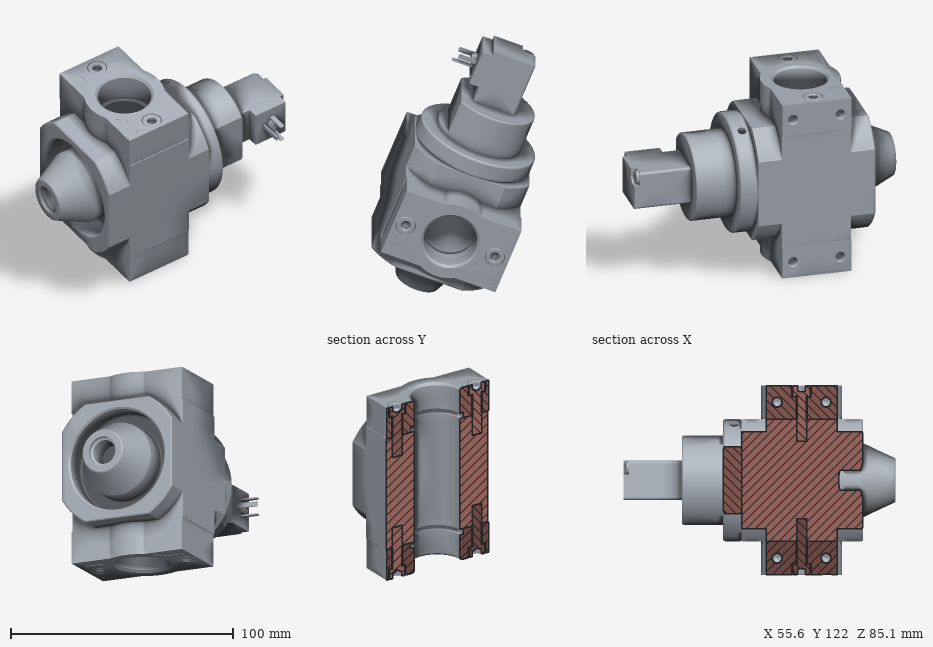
import cadquery as cq
import math


HOUSING_HALF_X = 27.6
HOUSING_HALF_Y = 27.5
HOUSING_HALF_Z = 27.5
HOUSING_BACK_Y = 27.0
CORNER_RADIUS = 31.7
END_CHAMFER = 0.5
PORT_DIAMETER = 24.2

RECESS_RADIUS = 23.3
RECESS_DEPTH = 11.0
RECESS_RIM_CHAMFER = 0.9
RECESS_OUTER_FILLET = 1.1
RECESS_INNER_FILLET = 0.7
CONE_BASE_RADIUS = 17.0
CONE_BASE_INSET = 0.4
CONE_TIP_RADIUS = 9.9
CONE_TIP_Y = -42.1
CONE_TIP_ROUNDING = 1.0
CONE_HOLE_DIAMETER = 11.0
CONE_HOLE_DEPTH = 12.2
CONE_MOUTH_DIAMETER = 13.3
CONE_MOUTH_DEPTH = 1.5
CONE_MOUTH_TAPER = 0.6

FLANGE_HALF_Y = 16.1
FLANGE_THICKNESS = 15.07
FLANGE_SHIFT_X = -0.4
FLANGE_BULGE_RADIUS = 18.2
FLANGE_PORT_CHAMFER = 1.1
SEAL_SEAT_DIAMETER = 28.0
SEAL_SEAT_DEPTH = 2.5
SIDE_HOLE_DIAMETER = 4.1
SIDE_HOLE_MOUTH_DIAMETER = 5.0
SIDE_HOLE_DEPTH = 9.8
SIDE_HOLE_Y = 11.0
SIDE_HOLE_HEIGHT = 7.6
DRILL_HALF_ANGLE = 59.0

LABEL_DEPTH = 0.1
LABEL_SIDE_MARGIN = 2.3
LABEL_LENGTH = 13.3
LABEL_SLANT = 2.7
LABEL_TOP_Y = -9.2
LABEL_BOTTOM_Y = -13.7
LABEL_CORNER_RADIUS = 0.6

SCREW_X = 21.5
SCREW_HEAD_DIAMETER = 8.5
SCREW_HEAD_HEIGHT = 5.0
SCREW_HEAD_CHAMFER = 0.2
SCREW_SHANK_DIAMETER = 5.0
SCREW_LENGTH = 25.0
SCREW_CLEARANCE_DIAMETER = 5.5
SCREW_SEAT_DIAMETER = 9.0
SOCKET_ACROSS_FLATS = 4.0
SOCKET_MOUTH_DIAMETER = 5.0
SOCKET_DEPTH = 2.5

CAP_RADIUS = 27.5
CAP_BACK_Y = 35.3
CAP_BACK_FILLET = 1.1
CAP_FRONT_CHAMFER_Y = 0.7
CAP_FRONT_CHAMFER_RADIAL = 0.5
SPANNER_HOLE_DIAMETER = 4.0
SPANNER_HOLE_DEPTH = 9.8
SPANNER_HOLE_Y = 30.4
SPANNER_HOLE_ANGLE = 25.0

PILOT_RADIUS = 20.0
PILOT_BACK_Y = 53.7
PILOT_FILLET = 0.7
PILOT_FLAT_X = 15.5
PILOT_FLAT_START_Y = 37.1

SOLENOID_HALF_X = 10.0
SOLENOID_HALF_Z = 8.8
SOLENOID_BACK_Y = 79.9
SOLENOID_EDGE_FILLET = 1.2
CONNECTOR_X = 14.8
CONNECTOR_START_Y = 61.4
CONNECTOR_END_Y = 77.8
COVER_NOTCH_SIZE = 6.2
COVER_NOTCH_DEPTH = 2.5
COVER_HEAD_DIAMETER = 6.0
COVER_HEAD_HEIGHT = 1.2
BOSS_Y = 70.2
BOSS_DIAMETER = 5.0
BOSS_END_X = 16.6
NOSE_DIAMETER = 3.8
NOSE_END_X = 17.3
BLADE_WIDTH = 2.2
BLADE_THICKNESS = 0.7
POWER_BLADE_Z = 3.8
POWER_BLADE_END_X = 23.3
EARTH_BLADE_Y = 66.1
EARTH_BLADE_END_X = 25.0
BLADE_TIP_CHAMFER = 0.2

FLANGE_OUTER_Z = HOUSING_HALF_Z + FLANGE_THICKNESS


def box(x_range, y_range, z_range):
    """Axis-aligned box between pairs of coordinates."""
    (x0, x1), (y0, y1), (z0, z1) = x_range, y_range, z_range
    return cq.Workplane("XY").box(x1 - x0, y1 - y0, z1 - z0, centered=False).translate((x0, y0, z0))


def cylinder_x(radius, x0, x1, y, z):
    return cq.Workplane("YZ", origin=(x0, y, z)).circle(radius).extrude(x1 - x0)


def cylinder_y(radius, y0, y1, x=0, z=0):
    return cq.Workplane("XZ", origin=(x, y0, z)).circle(radius).extrude(y0 - y1)


def cylinder_z(radius, z0, z1, x=0, y=0):
    return cq.Workplane("XY", origin=(x, y, z0)).circle(radius).extrude(z1 - z0)


def revolve_about_y(profile):
    """Solid of revolution about Y from (radius, y) points."""
    return cq.Workplane("XY").polyline(profile).close().revolve(360, (0, 0), (0, 1))


def exhaust_recess():
    """Annular pocket around a round skirt, open across the full width at the front face."""
    front = -HOUSING_HALF_Y
    floor = front + RECESS_DEPTH
    pocket = cylinder_y(RECESS_RADIUS, front, floor).faces(">Y").edges().fillet(RECESS_OUTER_FILLET)
    skirt = cylinder_y(CONE_BASE_RADIUS, front + CONE_BASE_INSET, floor)
    skirt_foot = cq.selectors.RadiusNthSelector(0)
    pocket = pocket.cut(skirt).faces(">Y").edges(skirt_foot).fillet(RECESS_INNER_FILLET)
    rim = revolve_about_y([
        (0, front),
        (RECESS_RADIUS + RECESS_RIM_CHAMFER, front),
        (RECESS_RADIUS, front + RECESS_RIM_CHAMFER),
        (CONE_BASE_RADIUS, front + RECESS_RIM_CHAMFER),
        (CONE_BASE_RADIUS, front + CONE_BASE_INSET),
        (0, front + CONE_BASE_INSET),
    ])
    return pocket.union(rim)


def exhaust_cone():
    """Cone standing on the skirt, with a rounded tip edge."""
    base_y = -HOUSING_HALF_Y + CONE_BASE_INSET
    cone = revolve_about_y([
        (0, CONE_TIP_Y),
        (CONE_TIP_RADIUS, CONE_TIP_Y),
        (CONE_BASE_RADIUS, base_y),
        (0, base_y),
    ])
    return cone.faces("<Y").edges().fillet(CONE_TIP_ROUNDING)


def exhaust_hole():
    """Blind hole in the cone tip with a wider mouth and a short taper below it."""
    mouth_end = CONE_TIP_Y + CONE_MOUTH_DEPTH
    return revolve_about_y([
        (0, CONE_TIP_Y),
        (CONE_MOUTH_DIAMETER / 2, CONE_TIP_Y),
        (CONE_MOUTH_DIAMETER / 2, mouth_end),
        (CONE_HOLE_DIAMETER / 2, mouth_end + CONE_MOUTH_TAPER),
        (CONE_HOLE_DIAMETER / 2, CONE_TIP_Y + CONE_HOLE_DEPTH),
        (0, CONE_TIP_Y + CONE_HOLE_DEPTH),
    ])


def make_housing():
    x_range = (-HOUSING_HALF_X, HOUSING_HALF_X)
    z_range = (-HOUSING_HALF_Z, HOUSING_HALF_Z)
    long_block = box(x_range, (-HOUSING_HALF_Y, HOUSING_BACK_Y), z_range)
    turned_ends = cylinder_y(CORNER_RADIUS, -HOUSING_HALF_Y, HOUSING_BACK_Y)
    body = long_block.intersect(turned_ends).faces("<Y").edges().chamfer(END_CHAMFER)
    body = body.union(box(x_range, (-FLANGE_HALF_Y, FLANGE_HALF_Y), z_range))
    body = body.cut(exhaust_recess()).union(exhaust_cone()).cut(exhaust_hole())
    body = body.cut(cylinder_z(PORT_DIAMETER / 2, -HOUSING_HALF_Z, HOUSING_HALF_Z))
    for end_z in (-HOUSING_HALF_Z, HOUSING_HALF_Z):
        hole_end = math.copysign(FLANGE_OUTER_Z - SCREW_LENGTH, end_z)
        for side in (-1, 1):
            body = body.cut(cylinder_z(SCREW_SHANK_DIAMETER / 2, hole_end, end_z, x=side * SCREW_X))
    return body


def label_panel(side):
    """Sunk panel with one slanted end; side is -1 or 1 along X."""
    outer = FLANGE_SHIFT_X + side * (HOUSING_HALF_X - LABEL_SIDE_MARGIN)
    inner = outer - side * LABEL_LENGTH
    outline = [
        (outer, LABEL_TOP_Y),
        (inner + side * LABEL_SLANT, LABEL_TOP_Y),
        (inner, LABEL_BOTTOM_Y),
        (outer, LABEL_BOTTOM_Y),
    ]
    plane = cq.Workplane("XY", origin=(0, 0, FLANGE_OUTER_Z - LABEL_DEPTH))
    return plane.polyline(outline).close().extrude(LABEL_DEPTH).edges("|Z").fillet(LABEL_CORNER_RADIUS)


def side_hole(y):
    """Drilled hole in the -X side, with a widened mouth and a conical bottom."""
    radius = SIDE_HOLE_DIAMETER / 2
    mouth = SIDE_HOLE_MOUTH_DIAMETER / 2
    point = radius / math.tan(math.radians(DRILL_HALF_ANGLE))
    profile = [
        (0, 0),
        (0, mouth),
        (mouth - radius, radius),
        (SIDE_HOLE_DEPTH, radius),
        (SIDE_HOLE_DEPTH + point, 0),
    ]
    origin = (FLANGE_SHIFT_X - HOUSING_HALF_X, y, HOUSING_HALF_Z + SIDE_HOLE_HEIGHT)
    return cq.Workplane("XY", origin=origin).polyline(profile).close().revolve(360, (0, 0), (1, 0))


def make_flange():
    x_range = (FLANGE_SHIFT_X - HOUSING_HALF_X, FLANGE_SHIFT_X + HOUSING_HALF_X)
    z_range = (HOUSING_HALF_Z, FLANGE_OUTER_Z)
    flange = box(x_range, (-FLANGE_HALF_Y, FLANGE_HALF_Y), z_range)
    flange = flange.union(cylinder_z(FLANGE_BULGE_RADIUS, *z_range))
    flange = flange.cut(cylinder_z(PORT_DIAMETER / 2, *z_range))
    port_edge = cq.selectors.RadiusNthSelector(0)
    flange = flange.faces(">Z").edges(port_edge).chamfer(FLANGE_PORT_CHAMFER)
    flange = flange.cut(cylinder_z(SEAL_SEAT_DIAMETER / 2, HOUSING_HALF_Z, HOUSING_HALF_Z + SEAL_SEAT_DEPTH))
    for side in (-1, 1):
        x = side * SCREW_X
        flange = flange.cut(cylinder_z(SCREW_CLEARANCE_DIAMETER / 2, *z_range, x=x))
        seat_z = FLANGE_OUTER_Z - SCREW_HEAD_HEIGHT
        flange = flange.cut(cylinder_z(SCREW_SEAT_DIAMETER / 2, seat_z, FLANGE_OUTER_Z, x=x))
        flange = flange.cut(label_panel(side))
        flange = flange.cut(side_hole(side * SIDE_HOLE_Y))
    return flange


def make_screw(side):
    """Hexagon socket screw of the upper flange; side is -1 or 1 along X."""
    x = side * SCREW_X
    head_z = FLANGE_OUTER_Z - SCREW_HEAD_HEIGHT
    head = cylinder_z(SCREW_HEAD_DIAMETER / 2, head_z, FLANGE_OUTER_Z, x=x)
    head = head.faces(">Z").edges().chamfer(SCREW_HEAD_CHAMFER)
    shank = cylinder_z(SCREW_SHANK_DIAMETER / 2, FLANGE_OUTER_Z - SCREW_LENGTH, head_z, x=x)

    across_corners = SOCKET_ACROSS_FLATS / math.cos(math.pi / 6)
    socket_floor = cq.Workplane("XY", origin=(x, 0, FLANGE_OUTER_Z - SOCKET_DEPTH))
    hexagon = socket_floor.polygon(6, across_corners).extrude(SOCKET_DEPTH)
    mouth_radius = SOCKET_MOUTH_DIAMETER / 2
    mouth = cq.Workplane(cq.Solid.makeCone(mouth_radius, 0, mouth_radius, (x, 0, FLANGE_OUTER_Z), (0, 0, -1)))
    floor_radius = SOCKET_ACROSS_FLATS / 2
    point_height = floor_radius / math.tan(math.radians(DRILL_HALF_ANGLE))
    floor_center = (x, 0, FLANGE_OUTER_Z - SOCKET_DEPTH)
    drill_point = cq.Workplane(cq.Solid.makeCone(floor_radius, 0, point_height, floor_center, (0, 0, -1)))
    return head.union(shank).cut(hexagon).cut(mouth).cut(drill_point)


def make_end_cap():
    chamfer_end = HOUSING_BACK_Y + CAP_FRONT_CHAMFER_Y
    cap = revolve_about_y([
        (0, HOUSING_BACK_Y),
        (CAP_RADIUS - CAP_FRONT_CHAMFER_RADIAL, HOUSING_BACK_Y),
        (CAP_RADIUS, chamfer_end),
        (CAP_RADIUS, CAP_BACK_Y),
        (0, CAP_BACK_Y),
    ])
    cap = cap.faces(">Y").edges().fillet(CAP_BACK_FILLET)
    hole = cylinder_z(
        SPANNER_HOLE_DIAMETER / 2, CAP_RADIUS - SPANNER_HOLE_DEPTH, CAP_RADIUS, y=SPANNER_HOLE_Y
    )
    return cap.cut(hole.rotate((0, 0, 0), (0, 1, 0), -SPANNER_HOLE_ANGLE))


def make_pilot_head():
    """Round head with a flat on its +X side that stops at a full base disc."""
    head = cylinder_y(PILOT_RADIUS, CAP_BACK_Y, PILOT_BACK_Y)
    head = head.faces(">Y").edges().fillet(PILOT_FILLET)
    beyond_flat = box(
        (PILOT_FLAT_X, PILOT_RADIUS), (PILOT_FLAT_START_Y, PILOT_BACK_Y), (-PILOT_RADIUS, PILOT_RADIUS)
    )
    return head.cut(beyond_flat)


def blade(end_x, y, z, width_y, width_z):
    """Flat contact along X with a chamfered tip."""
    tab = box(
        (CONNECTOR_X, end_x), (y - width_y / 2, y + width_y / 2), (z - width_z / 2, z + width_z / 2)
    )
    return tab.faces(">X").edges().chamfer(BLADE_TIP_CHAMFER)


def cover_notch():
    """Corner notch at the back, rounded inside, with a round head left standing in it."""
    floor_y = SOLENOID_BACK_Y - COVER_NOTCH_DEPTH
    notch = box(
        (-SOLENOID_HALF_X, COVER_NOTCH_SIZE - SOLENOID_HALF_X),
        (floor_y, SOLENOID_BACK_Y),
        (SOLENOID_HALF_Z - COVER_NOTCH_SIZE, SOLENOID_HALF_Z),
    )
    notch = notch.edges(">X and <Z").fillet(COVER_NOTCH_SIZE / 2)
    x = COVER_NOTCH_SIZE / 2 - SOLENOID_HALF_X
    z = SOLENOID_HALF_Z - COVER_NOTCH_SIZE / 2
    head_y = floor_y + COVER_HEAD_HEIGHT
    head = cylinder_y(COVER_HEAD_DIAMETER / 2, floor_y, head_y, x, z)
    return notch.cut(head)


def make_solenoid():
    z_range = (-SOLENOID_HALF_Z, SOLENOID_HALF_Z)
    coil = box((-SOLENOID_HALF_X, SOLENOID_HALF_X), (PILOT_BACK_Y, SOLENOID_BACK_Y), z_range)
    coil = coil.faces("<X").edges("|Y").fillet(SOLENOID_EDGE_FILLET)
    coil = coil.cut(cover_notch())
    coil = coil.union(box((SOLENOID_HALF_X, CONNECTOR_X), (CONNECTOR_START_Y, CONNECTOR_END_Y), z_range))
    coil = coil.union(cylinder_x(BOSS_DIAMETER / 2, CONNECTOR_X, BOSS_END_X, BOSS_Y, 0))
    coil = coil.union(cylinder_x(NOSE_DIAMETER / 2, BOSS_END_X, NOSE_END_X, BOSS_Y, 0))
    for z in (-POWER_BLADE_Z, POWER_BLADE_Z):
        coil = coil.union(blade(POWER_BLADE_END_X, BOSS_Y, z, BLADE_WIDTH, BLADE_THICKNESS))
    return coil.union(blade(EARTH_BLADE_END_X, EARTH_BLADE_Y, 0, BLADE_THICKNESS, BLADE_WIDTH))


housing = make_housing()
flange = make_flange()
flanges = [flange, flange.mirror("XY")]
upper_screws = [make_screw(side) for side in (-1, 1)]
screws = upper_screws + [screw.mirror("XY") for screw in upper_screws]
end_cap = make_end_cap()
pilot_head = make_pilot_head()
solenoid = make_solenoid()

bodies = [housing, *flanges, *screws, end_cap, pilot_head, solenoid]
result = cq.Compound.makeCompound([body.val() for body in bodies])